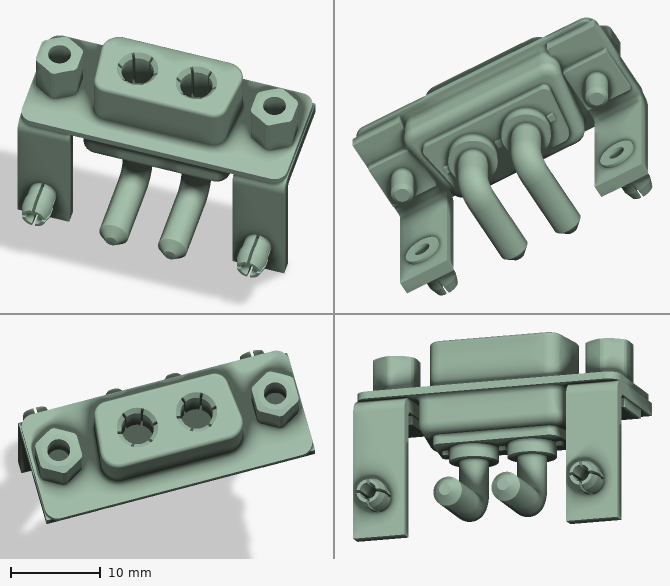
import cadquery as cq
import math


overall_width = 31.0
overall_depth = 16.5

plate_width = 30.8
plate_depth = 12.5
plate_thickness = 0.8
plate_corner_radius = 1.5
front_y = -plate_depth / 2

shell_top = 6.6
shell_half_depth = 3.95
shell_corner_x = 6.15
shell_back_radius = 2.0
shell_front_radius = 1.55
shell_fillet = 0.4

rear_depth = 4.1
rear_half_depth = 5.33
rear_back_corner_x = 8.28
rear_front_corner_x = 6.95
rear_corner_radius = 1.55
rear_bottom_fillet = 1.0
rear_flare_radius = 0.5

insert_bottom = -5.18
insert_half_depth = 3.55
insert_back_corner_x = 7.38
insert_back_radius = 0.7
insert_front_corner_x = 6.23
insert_front_radius = 1.1
tab_bottom = -5.67
tab_depth = 0.75
side_tab_x = 6.65
side_tab_width = 0.65
middle_tab_width = 0.75

contact_x = 3.4
collar_radius = 2.75
collar_bottom = -6.65
pin_radius = 1.67
pin_axis_z = -12.25
pin_bend_radius = 2.0
pin_reach = overall_depth - plate_depth / 2
pin_tip_chamfer = 1.0
socket_radius = 1.8
socket_mouth_radius = 2.3
socket_depth = 4.95
socket_slit_width = 0.3
socket_slit_count = 6

mount_x = 12.5
standoff_height = 5.0
standoff_across_flats = 4.8
standoff_turned_radius = 2.67
standoff_land_radius = 1.85
standoff_crown = 0.2
standoff_bore_radius = 1.27
standoff_bore_depth = 4.03
nut_size = 5.52
nut_thickness = 1.02
screw_radius = 1.27
screw_bottom = -6.3
screw_chamfer = 0.43

bracket_width = 6.0
bracket_thickness = 1.5
bracket_depth = 12.1
bracket_height = 16.0
bracket_outer_bend = 1.5
bracket_inner_bend = 0.5
leg_back_y = front_y + bracket_thickness

lock_z = -11.65
lock_bore_radius = 0.95
lock_barrel_radius = 1.55
lock_barb_radius = 1.67
lock_tip_radius = 1.33
lock_barb_start = 1.7
lock_barb_end = 2.75
lock_length = 3.85
lock_head_radius = 2.08
lock_head_thickness = 0.4
lock_head_y = leg_back_y + lock_head_thickness
lock_slit_width = 0.35


def d_prism(half_depth, back_x, back_radius, front_x, front_radius, bottom, top):
    """D-shaped prism whose slanted sides are tangent to the back and front corner arcs."""
    back_y = half_depth - back_radius
    front_corner_y = front_radius - half_depth
    run = back_x - front_x
    rise = back_y - front_corner_y
    dip = math.acos((front_radius - back_radius) / math.hypot(run, rise)) - math.atan2(rise, run)

    def on_front(angle):
        return (front_x + front_radius * math.cos(angle), front_corner_y + front_radius * math.sin(angle))

    def on_back(angle):
        return (back_x + back_radius * math.cos(angle), back_y + back_radius * math.sin(angle))

    def mirrored(point):
        return (-point[0], point[1])

    down = -math.pi / 2
    up = math.pi / 2
    front_middle = (down - dip) / 2
    back_middle = (up - dip) / 2
    return (
        cq.Workplane("XY", origin=(0, 0, bottom))
        .moveTo(*mirrored(on_front(down)))
        .lineTo(*on_front(down))
        .threePointArc(on_front(front_middle), on_front(-dip))
        .lineTo(*on_back(-dip))
        .threePointArc(on_back(back_middle), on_back(up))
        .lineTo(*mirrored(on_back(up)))
        .threePointArc(mirrored(on_back(back_middle)), mirrored(on_back(-dip)))
        .lineTo(*mirrored(on_front(-dip)))
        .threePointArc(mirrored(on_front(front_middle)), mirrored(on_front(down)))
        .close()
        .extrude(top - bottom)
    )


def cylinder(x, radius, bottom, top):
    return cq.Workplane("XY", origin=(x, 0, bottom)).circle(radius).extrude(top - bottom)


def block(x, width, depth, bottom, top):
    return cq.Workplane("XY", origin=(x, 0, bottom)).rect(width, depth).extrude(top - bottom)


def edges_inside_plate_face(z):
    """Selector for the edges at height z that lie inside the outline of the plate."""
    outline_margin = 0.62
    reach_x = plate_width / 2 - outline_margin
    reach_y = plate_depth / 2 - outline_margin
    low = z - plate_thickness / 2
    high = z + plate_thickness / 2
    return cq.selectors.BoxSelector((-reach_x, -reach_y, low), (reach_x, reach_y, high))


def make_shells():
    plate = block(0, plate_width, plate_depth, 0, plate_thickness).edges("|Z").fillet(plate_corner_radius)
    shell = d_prism(
        shell_half_depth,
        shell_corner_x, shell_back_radius,
        shell_corner_x, shell_front_radius,
        plate_thickness, shell_top,
    ).faces(">Z").edges().fillet(shell_fillet)
    rear = d_prism(
        rear_half_depth,
        rear_back_corner_x, rear_corner_radius,
        rear_front_corner_x, rear_corner_radius,
        -rear_depth, 0,
    ).faces("<Z").edges().fillet(rear_bottom_fillet)
    shells = plate.union(shell).union(rear)
    shells = shells.edges(edges_inside_plate_face(plate_thickness)).fillet(shell_fillet)
    return shells.edges(edges_inside_plate_face(0)).fillet(rear_flare_radius)


def make_insert():
    insert = d_prism(
        insert_half_depth,
        insert_back_corner_x, insert_back_radius,
        insert_front_corner_x, insert_front_radius,
        insert_bottom, -rear_depth,
    )
    for x, width in (
        (-side_tab_x, side_tab_width),
        (0, middle_tab_width),
        (side_tab_x, side_tab_width),
    ):
        insert = insert.union(block(x, width, tab_depth, tab_bottom, insert_bottom))
    return insert


def make_contact(x):
    """Collar with a pin that drops down and bends toward -Y."""
    bend_start = (0, pin_axis_z + pin_bend_radius)
    bend_end = (-pin_bend_radius, pin_axis_z)
    bend_middle = (
        -pin_bend_radius * (1 - math.cos(math.pi / 4)),
        pin_axis_z + pin_bend_radius * (1 - math.sin(math.pi / 4)),
    )
    path = (
        cq.Workplane("YZ", origin=(x, 0, 0))
        .moveTo(0, collar_bottom)
        .lineTo(*bend_start)
        .threePointArc(bend_middle, bend_end)
        .lineTo(-pin_reach, pin_axis_z)
    )
    pin = cq.Workplane("XY", origin=(x, 0, collar_bottom)).circle(pin_radius).sweep(path)
    pin = pin.faces("<Y").chamfer(pin_tip_chamfer)
    return cylinder(x, collar_radius, collar_bottom, insert_bottom).union(pin)


def make_socket(x):
    """Cutter for a socket with a countersunk mouth and radial slits in its wall."""
    floor = shell_top - socket_depth
    mouth_depth = socket_mouth_radius - socket_radius
    socket = (
        cq.Workplane("XZ", origin=(x, 0, 0))
        .moveTo(0, floor)
        .lineTo(socket_radius, floor)
        .lineTo(socket_radius, shell_top - mouth_depth)
        .lineTo(socket_mouth_radius, shell_top)
        .lineTo(0, shell_top)
        .close()
        .revolve(360, (0, 0, 0), (0, 1, 0))
    )
    slit_limit = cylinder(x, socket_mouth_radius, floor, shell_top)
    slit = block(x, 2 * socket_mouth_radius, socket_slit_width, floor, shell_top).intersect(slit_limit)
    for index in range(socket_slit_count // 2):
        socket = socket.union(slit.rotate((x, 0, 0), (x, 0, 1), index * 360 / socket_slit_count))
    return socket


def make_standoff(x):
    """Hexagonal standoff with its corners turned round and both ends slightly coned."""
    top = plate_thickness + standoff_height
    hexagon = (
        cq.Workplane("XY", origin=(x, 0, plate_thickness))
        .transformed(rotate=(0, 0, 90))
        .polygon(6, standoff_across_flats / math.cos(math.pi / 6))
        .extrude(standoff_height)
    )
    turned = (
        cq.Workplane("XZ", origin=(x, 0, 0))
        .moveTo(0, plate_thickness)
        .lineTo(standoff_land_radius, plate_thickness)
        .lineTo(standoff_turned_radius, plate_thickness + standoff_crown)
        .lineTo(standoff_turned_radius, top - standoff_crown)
        .lineTo(standoff_land_radius, top)
        .lineTo(0, top)
        .close()
        .revolve(360, (0, 0, 0), (0, 1, 0))
    )
    bore = cylinder(x, standoff_bore_radius, top - standoff_bore_depth, top)
    return hexagon.intersect(turned).cut(bore)


def make_screw_end(x):
    nut_bottom = -bracket_thickness - nut_thickness
    nut = block(x, nut_size, nut_size, nut_bottom, -bracket_thickness)
    screw = cylinder(x, screw_radius, screw_bottom, nut_bottom).faces("<Z").chamfer(screw_chamfer)
    return nut.union(screw)


def make_bracket(side):
    """Angle bracket under one end of the plate; side is -1 for left and +1 for right."""
    x = side * (overall_width - bracket_width) / 2
    back_y = front_y + bracket_depth
    bracket = (
        cq.Workplane("YZ", origin=(x, 0, 0))
        .moveTo(front_y, 0)
        .lineTo(back_y, 0)
        .lineTo(back_y, -bracket_thickness)
        .lineTo(leg_back_y, -bracket_thickness)
        .lineTo(leg_back_y, -bracket_height)
        .lineTo(front_y, -bracket_height)
        .close()
        .extrude(bracket_width / 2, both=True)
    )
    outer_bend = cq.selectors.NearestToPointSelector((x, front_y, 0))
    bracket = bracket.edges(outer_bend).fillet(bracket_outer_bend)
    inner_bend = cq.selectors.NearestToPointSelector((x, leg_back_y, -bracket_thickness))
    return bracket.edges(inner_bend).fillet(bracket_inner_bend)


def make_board_lock(x):
    """Barbed post, split crosswise in front of the bracket leg."""
    post = (
        cq.Workplane("XY", origin=(x, 0, lock_z))
        .moveTo(0, lock_head_y)
        .lineTo(lock_head_radius, lock_head_y)
        .lineTo(lock_head_radius, leg_back_y)
        .lineTo(lock_barrel_radius, leg_back_y)
        .lineTo(lock_barrel_radius, front_y - lock_barb_start)
        .lineTo(lock_barb_radius, front_y - lock_barb_start)
        .lineTo(lock_barb_radius, front_y - lock_barb_end)
        .lineTo(lock_tip_radius, front_y - lock_length)
        .lineTo(0, front_y - lock_length)
        .close()
        .revolve(360, (0, 0, 0), (0, 1, 0))
    )
    slit_length = 2 * lock_barb_radius
    leg_face = cq.Workplane("XZ", origin=(x, front_y, lock_z))
    for width, height in ((slit_length, lock_slit_width), (lock_slit_width, slit_length)):
        post = post.cut(leg_face.rect(width, height).extrude(lock_length))
    return post


def make_lock_bore(x):
    return (
        cq.Workplane("XZ", origin=(x, lock_head_y, lock_z))
        .circle(lock_bore_radius)
        .extrude(bracket_thickness + lock_head_thickness + lock_length)
    )


result = make_shells().union(make_insert())
for side in (-1, 1):
    mount = side * mount_x
    result = result.union(make_contact(side * contact_x))
    result = result.union(make_bracket(side))
    result = result.union(make_standoff(mount))
    result = result.union(make_screw_end(mount))
    result = result.union(make_board_lock(mount))
    result = result.cut(make_lock_bore(mount))
    result = result.cut(make_socket(side * contact_x))